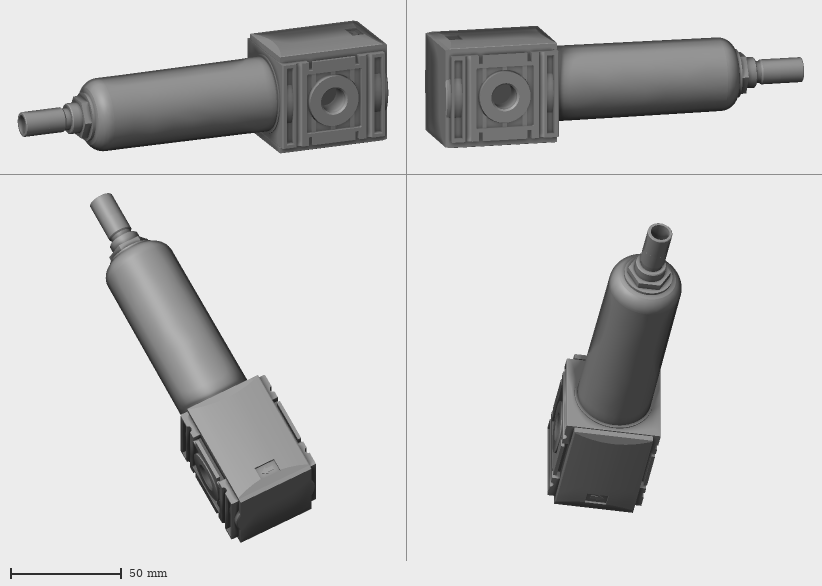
import cadquery as cq
import math


cover_half_width = 18.0
cover_edge_height = 22.8
crest_height = 48.15 / 2
cover_back = 27.0
head_front = -25.0
cover_back_bevel_length = 1.8
cover_back_bevel_drop = 0.4
crown_end_bevel_length = 4.0

cover_edge_bevel_width = 0.4
cover_edge_bevel_rise = 0.2

core_diameter = 40.0
core_chamfer = 0.5
collar_diameter = 36.0
collar_front = head_front - 0.5

plate_outer = 43.0 / 2
plate_inner = 17.85
plate_back = 24.7
plate_half_height = 19.7
frame_gap = 0.5
frame_front_thickness = 2.0
frame_edge_chamfer = 0.4
wall_back = head_front + frame_front_thickness

window_half_height = 18.2
window_spans = [(19.6, 23.7), (-22.9, -19.3)]

groove_offset = 17.0
groove_radius = 1.45

slot_offset = 11.3
slot_width = 2.0
slot_length = 4.0
lip_thickness = 1.6

frame_length = 26.6
frame_height = 28.2
frame_corner_radius = 0.6
frame_depth = 2.1
frame_floor_thickness = 0.5
bar_height = 0.8
bar_inner = 8.4
bar_outer = 10.3
rib_width = 2.0
port_boss_diameter = 23.5
port_boss_clearance = 0.5
port_bore_diameter = 11.45
port_mouth_diameter = 13.0
port_depth = 12.0

badge_length = 9.8
badge_width = 6.2
badge_center = 18.6
badge_floor = crest_height - 1.2
arrow_height = 0.3
arrow_tail = -2.9
arrow_neck = 0.3
arrow_tip = 3.1
arrow_shaft_half_width = 1.0
arrow_head_half_width = 2.0

neck_radius = 16.6
bowl_top_radius = 34.0 / 2
bowl_bottom_radius = 16.6
neck_end = collar_front - 0.6
taper_start = -28.0
dome_start = -104.8
dome_end = -111.1
dome_end_radius = 13.0
washer_start = -111.7
washer_radius = 22.0 / 2
washer_end = -113.0
hex_across_flats = 17.0
hex_end = -116.2
drain_collar_radius = 14.0 / 2
drain_collar_end = -121.0
drain_collar_chamfer = 0.4
drain_neck_radius = 10.0 / 2
drain_neck_end = -123.4
hose_radius = 11.3 / 2
hose_tip_radius = 11.27 / 2
hose_step = -132.0
hose_end = -143.0
hose_lead = 0.7
hose_tip_chamfer = 0.3
drain_bore_diameter = 8.57
drain_bore_depth = 20.0


def block(x_span, y_span, z_span):
    """Box between the given limits."""
    spans = (x_span, y_span, z_span)
    sizes = [high - low for low, high in spans]
    center = [(high + low) / 2 for low, high in spans]
    return cq.Workplane("XY").box(*sizes).translate(tuple(center))


def y_cylinder(radius, start, end):
    """Cylinder around the bowl axis from y = start down to y = end."""
    return cq.Workplane("XZ", origin=(0, start, 0)).circle(radius).extrude(start - end)


def both_sides(shape):
    """A shape on the -X side together with its mirror image on the +X side."""
    return shape.union(shape.mirror("YZ"))


def both_faces(shape):
    """A shape on the +Z face together with its mirror image on the -Z face."""
    return shape.union(shape.mirror("XY"))


def make_cover():
    """Block with crowned top and bottom faces, sloped ends and a waist for the frame."""
    arc_half_width = cover_half_width - cover_edge_bevel_width
    arc_edge_height = cover_edge_height + cover_edge_bevel_rise
    crown = (
        cq.Workplane("XZ", origin=(0, cover_back, 0))
        .moveTo(-cover_half_width, -cover_edge_height)
        .lineTo(-cover_half_width, cover_edge_height)
        .lineTo(-arc_half_width, arc_edge_height)
        .threePointArc((0, crest_height), (arc_half_width, arc_edge_height))
        .lineTo(cover_half_width, cover_edge_height)
        .lineTo(cover_half_width, -cover_edge_height)
        .lineTo(arc_half_width, -arc_edge_height)
        .threePointArc((0, -crest_height), (-arc_half_width, -arc_edge_height))
        .close()
        .extrude(cover_back - head_front)
    )
    bevel_end = cover_back - cover_back_bevel_length
    upper_outline = [
        (cover_back, cover_edge_height - cover_back_bevel_drop),
        (bevel_end, cover_edge_height),
        (bevel_end - crown_end_bevel_length, crest_height),
        (head_front + crown_end_bevel_length, crest_height),
        (head_front, cover_edge_height),
    ]
    lower_outline = [(y, -z) for y, z in reversed(upper_outline)]
    side_profile = (
        cq.Workplane("YZ")
        .polyline(upper_outline + lower_outline)
        .close()
        .extrude(cover_half_width, both=True)
    )
    waist_height = plate_half_height + frame_gap
    waist_z = (-waist_height, waist_height)
    side_recess = block((-cover_half_width, -plate_inner), (head_front, plate_back + frame_gap), waist_z)
    front_recess = block((-cover_half_width, cover_half_width), (head_front, wall_back), waist_z)
    return crown.intersect(side_profile).cut(both_sides(side_recess)).cut(front_recess)


def make_core():
    """Round core of the block, with a flat behind the floor of each port frame."""
    core = y_cylinder(core_diameter / 2, cover_back, wall_back).faces(">Y").chamfer(core_chamfer)
    flat = block(
        (-core_diameter / 2, -plate_outer + frame_depth + frame_floor_thickness),
        (-frame_length / 2, frame_length / 2),
        (-frame_height / 2, frame_height / 2),
    )
    return core.cut(both_sides(flat))


def make_plate_windows():
    """Openings through the side plates that show the round core."""
    windows = cq.Workplane("XY")
    for y_span in window_spans:
        windows = windows.union(
            block(
                (-plate_outer, -plate_inner),
                y_span,
                (-window_half_height, window_half_height),
            )
        )
    return both_sides(windows)


def make_clamp_grooves():
    """Round vertical grooves in the outer faces of the side plates."""
    grooves = (
        cq.Workplane("XY")
        .pushPoints([(-plate_outer, groove_offset), (-plate_outer, -groove_offset)])
        .circle(groove_radius)
        .extrude(plate_half_height, both=True)
    )
    return both_sides(grooves)


def make_edge_slots():
    """Slots in the upper and lower plate edges, joined by a gap behind a thin lip."""
    z_span = (plate_half_height - slot_length, plate_half_height)
    slots = block(
        (-plate_outer + lip_thickness, -plate_inner),
        (-slot_offset, slot_offset),
        z_span,
    )
    for y in (-slot_offset, slot_offset):
        y_span = (y - slot_width / 2, y + slot_width / 2)
        slots = slots.union(block((-plate_outer, -plate_inner), y_span, z_span))
    return both_faces(both_sides(slots))


def make_port_frames():
    """Framed pockets around the ports; the bars and the rib stay standing."""
    floor = -plate_outer + frame_depth
    raised = floor - bar_height
    half_height = frame_height / 2
    pocket = block(
        (-plate_outer, floor),
        (-frame_length / 2, frame_length / 2),
        (-half_height, half_height),
    ).edges("|X").fillet(frame_corner_radius)
    rib_spans = [
        (bar_inner, bar_outer),
        (-rib_width / 2, rib_width / 2),
        (-bar_outer, -bar_inner),
    ]
    for y_span in rib_spans:
        pocket = pocket.cut(block((raised, floor), y_span, (-half_height, half_height)))
    return both_sides(pocket)


def make_port_plugs(radius):
    """Cylinder along X between the two outer plate faces."""
    return cq.Workplane("YZ").circle(radius).extrude(plate_outer, both=True)


def make_port_bores():
    """Blind port bores with a chamfered mouth."""
    mouth_radius = port_mouth_diameter / 2
    bore_radius = port_bore_diameter / 2
    mouth_depth = mouth_radius - bore_radius
    bore = (
        cq.Workplane("XY")
        .polyline([
            (-plate_outer, 0),
            (-plate_outer, mouth_radius),
            (-plate_outer + mouth_depth, bore_radius),
            (-plate_outer + port_depth, bore_radius),
            (-plate_outer + port_depth, 0),
        ])
        .close()
        .revolve(360, (0, 0, 0), (1, 0, 0))
    )
    return both_sides(bore)


def make_badges():
    """Rectangular recesses in the crowned faces, each around a raised flow arrow."""
    recess = block(
        (-badge_length / 2, badge_length / 2),
        (badge_center - badge_width / 2, badge_center + badge_width / 2),
        (badge_floor, crest_height),
    )
    arrow = (
        cq.Workplane("XY", origin=(0, badge_center, badge_floor))
        .polyline([
            (arrow_tail, -arrow_shaft_half_width),
            (arrow_neck, -arrow_shaft_half_width),
            (arrow_neck, -arrow_head_half_width),
            (arrow_tip, 0),
            (arrow_neck, arrow_head_half_width),
            (arrow_neck, arrow_shaft_half_width),
            (arrow_tail, arrow_shaft_half_width),
        ])
        .close()
        .extrude(arrow_height)
    )
    return both_faces(recess.cut(arrow))


def make_frame():
    """U-shaped frame: two side plates joined by a front wall with a hole for the collar."""
    plate_z = (-plate_half_height, plate_half_height)
    frame = block((-plate_outer, plate_outer), (head_front, plate_back), plate_z)
    frame = frame.edges("|Z and <Y").chamfer(frame_edge_chamfer)
    frame = frame.cut(block((-plate_inner, plate_inner), (wall_back, plate_back), plate_z))
    frame = frame.cut(make_core())
    frame = frame.cut(y_cylinder(collar_diameter / 2, wall_back, head_front))
    frame = frame.cut(make_port_plugs(port_boss_diameter / 2 + port_boss_clearance))
    frame = frame.cut(make_plate_windows()).cut(make_clamp_grooves())
    return frame.cut(make_edge_slots()).cut(make_port_frames())


def make_bowl():
    """Tapered bowl with a domed end and the drain fitting on its axis."""
    axial_plane = cq.Plane(origin=(0, 0, 0), xDir=(0, 0, 1), normal=(-1, 0, 0))
    turned = (
        cq.Workplane(axial_plane)
        .moveTo(0, collar_front)
        .lineTo(neck_radius, collar_front)
        .lineTo(neck_radius, neck_end)
        .lineTo(bowl_top_radius, neck_end)
        .lineTo(bowl_top_radius, taper_start)
        .lineTo(bowl_bottom_radius, dome_start)
        .tangentArcPoint((dome_end_radius, dome_end), relative=False)
        .lineTo(washer_radius, washer_start)
        .lineTo(washer_radius, washer_end)
        .lineTo(drain_collar_radius, washer_end)
        .lineTo(drain_collar_radius, drain_collar_end + drain_collar_chamfer)
        .lineTo(drain_collar_radius - drain_collar_chamfer, drain_collar_end)
        .lineTo(drain_neck_radius, drain_collar_end)
        .lineTo(drain_neck_radius, drain_neck_end)
        .lineTo(hose_radius, drain_neck_end - hose_lead)
        .lineTo(hose_radius, hose_step)
        .lineTo(hose_tip_radius, hose_step)
        .lineTo(hose_tip_radius, hose_end + hose_tip_chamfer)
        .lineTo(hose_tip_radius - hose_tip_chamfer, hose_end)
        .lineTo(0, hose_end)
        .close()
        .revolve(360, (0, 0, 0), (0, 1, 0))
    )
    hex_across_corners = hex_across_flats / math.cos(math.pi / 6)
    hexagon = (
        cq.Workplane("XZ", origin=(0, washer_end, 0))
        .polygon(6, hex_across_corners)
        .extrude(washer_end - hex_end)
    )
    bore = y_cylinder(drain_bore_diameter / 2, hose_end + drain_bore_depth, hose_end)
    return turned.union(hexagon).cut(bore)


def make_filter():
    """Block with its round core, port bosses and collar, carrying the bowl and the drain."""
    collar = y_cylinder(collar_diameter / 2, wall_back, collar_front)
    bosses = make_port_plugs(port_boss_diameter / 2)
    head = make_cover().union(make_core()).union(collar).union(bosses)
    head = head.cut(make_port_bores()).cut(make_badges())
    return head.union(make_bowl())


filter_unit = make_filter()
frame = make_frame()
result = cq.Compound.makeCompound([filter_unit.solids().val(), frame.solids().val()])